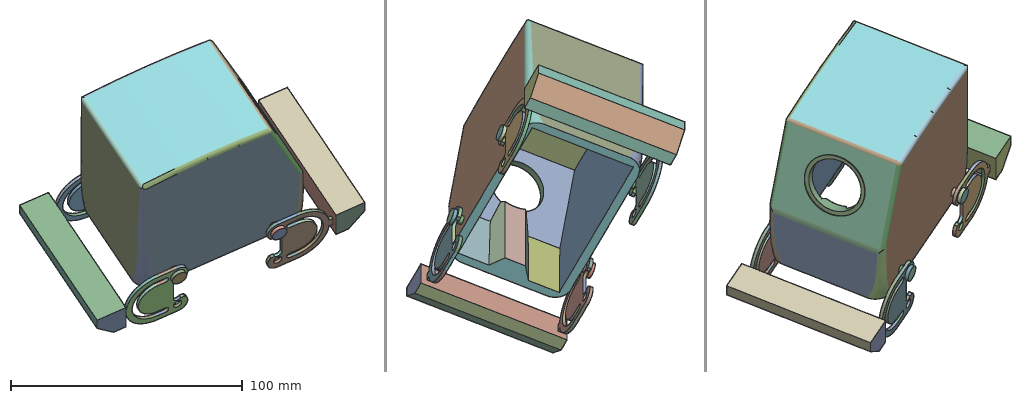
import cadquery as cq
import math

hood_width = 56.3
rim_half_length = 40.9
front_draft = 0.9
back_draft = 1.3
front_top_z = 75.1
ridge_y = 24.2
ridge_z = 75.8
crown_y = -4.6
crown_z = 77.0
knee_z = 32.5
knee_radius = 9.2
edge_radius = 1.8
corner_radii = [(0.0, 7.8), (11.8, 4.0), (32.9, 2.9), (79.0, edge_radius)]

wall = 4.0
rib_tip_y = 30.5
rib_tip_width = 9.7
rib_flank_y = 32.4
rib_flank_width = 12.4

entry_y = 32.1
entry_diameter = 25.0
seat_diameter = 29.0
seat_depth = 0.4
entry_length = 10.5

lever_mid_z = -4.2
lever_thickness = 1.6
lever_inner_x = 30.5
lever_arc_y = 34.5
lever_radius = 15.5
slot_outer_radius = 12.5
slot_width = 3.0
slot_end_y = 29.1
pin_y = 24.6
pin_spacing = 21.0
hook_radius = lever_radius - pin_spacing / 2
hook_hole_radius = 2.0
notch_radius = 2.0
notch_offset = 4.9
hook_tip_offset = 3.7
pin_radius = 2.0
pin_head_radius = 3.5
pin_head_end_x = 33.8

handle_length = 70.0
handle_outer_y = 65.8
handle_side = 14.2
handle_top_z = 4.0
handle_chamfer = 8.2
neck_height = 4.3

pin_z = lever_mid_z + pin_spacing / 2
hook_z = lever_mid_z - pin_spacing / 2
handle_inner_y = handle_outer_y - handle_side


def front_y(z):
    return -rim_half_length + front_draft * z / front_top_z


def back_y(z):
    return rim_half_length - back_draft * z / front_top_z


knee_y = back_y(knee_z)
slant_run = (knee_y - ridge_y) / (ridge_z - knee_z)
slant_angle = math.atan(slant_run)


def slant_y(z):
    return knee_y - (z - knee_z) * slant_run


def inner_slant_y(z):
    return slant_y(z) - wall / math.cos(slant_angle)


def extrude_along_x(sketch, start_x, end_x):
    return sketch.extrude(end_x - start_x).translate((start_x, 0, 0))


def column_section(z, radius):
    middle_y = (front_y(z) + back_y(z)) / 2
    outline = cq.Sketch().rect(hood_width, back_y(z) - front_y(z)).vertices().fillet(radius)
    return outline.moved(cq.Location(cq.Vector(0, middle_y, z)))


def hood_envelope():
    """Arched and slanted block, trimmed by a column whose upright corners widen towards the rim."""
    profile = (
        cq.Workplane("YZ")
        .moveTo(front_y(0), 0)
        .lineTo(back_y(0), 0)
        .lineTo(knee_y, knee_z)
        .lineTo(ridge_y, ridge_z)
        .threePointArc((crown_y, crown_z), (front_y(front_top_z), front_top_z))
        .close()
    )
    block = extrude_along_x(profile, -hood_width / 2, hood_width / 2)
    knee_edge = cq.selectors.NearestToPointSelector((0, knee_y, knee_z))
    block = block.edges(knee_edge).fillet(knee_radius)

    upper_edges = cq.selectors.BoxSelector(
        (-hood_width, front_y(0), knee_z + knee_radius), (hood_width, back_y(0), crown_z + edge_radius)
    )
    block = block.edges(upper_edges).fillet(edge_radius)

    sections = [column_section(z, radius) for z, radius in corner_radii]
    column = cq.Workplane("XY").placeSketch(*sections).loft()
    return block.intersect(column)


def hood_cavity():
    """Room that leaves an even wall all round, open at the rim."""
    top_z = front_top_z - wall
    inner_knee_y = knee_y - wall
    inner_knee_z = knee_z - wall * math.tan(slant_angle / 2)
    profile = (
        cq.Workplane("YZ")
        .moveTo(front_y(0) + wall, 0)
        .lineTo(back_y(0) - wall, 0)
        .lineTo(inner_knee_y, inner_knee_z)
        .lineTo(inner_slant_y(top_z), top_z)
        .lineTo(front_y(top_z) + wall, top_z)
        .close()
    )
    return extrude_along_x(profile, wall - hood_width / 2, hood_width / 2 - wall)


def inner_rib():
    """Tapered rib from the rim up the +Y wall until it runs out in the slanted wall."""
    flank_slope = (rib_flank_width - rib_tip_width) / (rib_flank_y - rib_tip_y)
    root_y = knee_y - wall / 2
    root_width = rib_tip_width + flank_slope * (root_y - rib_tip_y)
    height = knee_z + (knee_y - wall / math.cos(slant_angle) - rib_tip_y) / slant_run
    return (
        cq.Workplane("XY")
        .moveTo(-rib_tip_width / 2, rib_tip_y)
        .lineTo(rib_tip_width / 2, rib_tip_y)
        .lineTo(root_width / 2, root_y)
        .lineTo(-root_width / 2, root_y)
        .close()
        .extrude(height)
    )


def cable_entry():
    """Round opening square to the slanted face, with a shallow seat around it."""
    outward = (0, math.cos(slant_angle), math.sin(slant_angle))
    center = (0, entry_y, knee_z + (knee_y - entry_y) / slant_run)
    face = cq.Workplane(cq.Plane(origin=center, xDir=(1, 0, 0), normal=outward))
    bore = face.circle(entry_diameter / 2).extrude(-entry_length)
    seat = face.circle(seat_diameter / 2).extrude(-seat_depth)
    return bore.union(seat)


def disc(y, z, radius, start_x, end_x):
    return extrude_along_x(cq.Workplane("YZ").center(y, z).circle(radius), start_x, end_x)


def slab(start_y, end_y, height, start_x, end_x):
    """Plain block centred on the height of the levers."""
    sketch = cq.Workplane("YZ").center((start_y + end_y) / 2, lever_mid_z).rect(end_y - start_y, height)
    return extrude_along_x(sketch, start_x, end_x)


def rounded_tab(radius, start_y, start_x, end_x):
    """Straight tab running outwards from start_y and closed by a half round."""
    sketch = (
        cq.Workplane("YZ")
        .moveTo(start_y, lever_mid_z - radius)
        .lineTo(lever_arc_y, lever_mid_z - radius)
        .threePointArc((lever_arc_y + radius, lever_mid_z), (lever_arc_y, lever_mid_z + radius))
        .lineTo(start_y, lever_mid_z + radius)
        .close()
    )
    return extrude_along_x(sketch, start_x, end_x)


def lever():
    """Lever plate on the +X side of the +Y end, with a hook above and below."""
    near, far = lever_inner_x, lever_inner_x + lever_thickness
    plate = rounded_tab(lever_radius, pin_y, near, far)
    for z in (pin_z, hook_z):
        plate = plate.union(disc(pin_y, z, hook_radius, near, far))

    hook_gap = slab(pin_y - hook_radius, pin_y, pin_spacing - 2 * hook_tip_offset, near, far)
    throat_height = pin_spacing - 2 * notch_offset
    throat = slab(pin_y, pin_y + notch_radius, throat_height, near, far)
    plate = plate.cut(hook_gap).cut(throat)
    for side in (1, -1):
        notch_z = lever_mid_z + side * throat_height / 2
        plate = plate.cut(disc(pin_y, notch_z, notch_radius, near, far))

    slot_inner_radius = slot_outer_radius - slot_width
    slot_end_radius = slot_width / 2
    slot_start_y = slot_end_y + slot_end_radius
    slot = rounded_tab(slot_outer_radius, slot_start_y, near, far)
    slot = slot.cut(rounded_tab(slot_inner_radius, slot_start_y, near, far))
    for side in (1, -1):
        end_z = lever_mid_z + side * (slot_inner_radius + slot_end_radius)
        slot = slot.union(disc(slot_start_y, end_z, slot_end_radius, near, far))

    hook_hole = disc(pin_y, hook_z, hook_hole_radius, near, far)
    neck = slab(lever_arc_y + slot_outer_radius, handle_inner_y, neck_height, near, far)
    return plate.cut(slot).cut(hook_hole).union(neck)


def pin():
    """Pivot pin from the hood side wall through the lever, with a head outside it."""
    shaft = disc(pin_y, pin_z, pin_radius, hood_width / 2 - wall / 2, pin_head_end_x)
    return shaft.union(disc(pin_y, pin_z, pin_head_radius, lever_inner_x + lever_thickness, pin_head_end_x))


def handle():
    bottom_z = handle_top_z - handle_side
    profile = (
        cq.Workplane("YZ")
        .moveTo(handle_inner_y, handle_top_z)
        .lineTo(handle_outer_y, handle_top_z)
        .lineTo(handle_outer_y, bottom_z + handle_chamfer)
        .lineTo(handle_outer_y - handle_chamfer, bottom_z)
        .lineTo(handle_inner_y, bottom_z)
        .close()
    )
    return extrude_along_x(profile, -handle_length / 2, handle_length / 2)


def locking_bracket():
    """Handle carried by a lever and pin on each side of the +Y end."""
    side = lever().union(pin())
    return handle().union(side).union(side.mirror("YZ"))


envelope = hood_envelope()
rib = inner_rib().intersect(envelope)
hood = envelope.cut(hood_cavity()).union(rib).cut(cable_entry())
back_bracket = locking_bracket()
result = hood.union(back_bracket).union(back_bracket.mirror("XZ"))